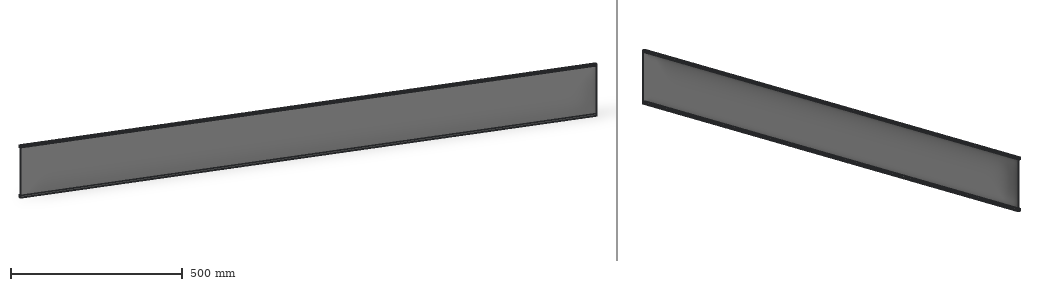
import cadquery as cq

depth = 9.0
length = 1829.0
height = 160.0

web_thickness = 3.0
flange_thickness = 6.0

block = cq.Workplane("XY").box(depth, length, height)

recess = (
    cq.Workplane("XY")
    .box(depth, length, height - 2 * flange_thickness)
    .translate((-web_thickness, 0, 0))
)

result = block.cut(recess)